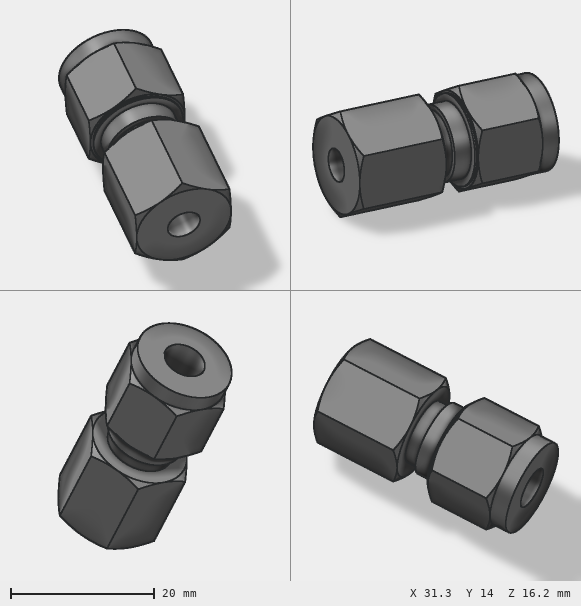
import cadquery as cq
import math


total_length = 31.3
collar_end = 2.57
nut_hex_end = 12.68
nut_rim_end = 12.75
washer_end = 13.02
shoulder_end = 15.62
body_hex_start = 17.72

across_flats = 14.0
across_corners = across_flats / math.cos(math.radians(30))
corner_chamfer_angle = 30.0
washer_diameter = 13.27
shoulder_diameter = 11.1
neck_diameter = 9.6

tube_bore_diameter = 6.0
tube_bore_depth = 15.3
through_bore_diameter = 4.8


def cylinder(start, end, diameter):
    """Round section between two stations along the axis."""
    return cq.Workplane("YZ", origin=(start, 0, 0)).circle(diameter / 2).extrude(end - start)


def chamfered_hex(start, end):
    """Hexagon with corners up and down, its corners turned to cones at both ends."""
    prism = (
        cq.Workplane("YZ", origin=(start, 0, 0))
        .polygon(6, across_corners)
        .extrude(end - start)
        .rotate((0, 0, 0), (1, 0, 0), 90)
    )
    radial_cut = (across_corners - across_flats) / 2
    axial_cut = radial_cut * math.tan(math.radians(corner_chamfer_angle))
    envelope = cylinder(start, end, across_corners).faces("<X or >X").chamfer(axial_cut, radial_cut)
    return prism.intersect(envelope)


collar = cylinder(0, collar_end, across_flats)
nut_hex = chamfered_hex(collar_end, nut_hex_end)
nut_rim = cylinder(nut_hex_end, nut_rim_end, across_flats)
washer_face = cylinder(nut_rim_end, washer_end, washer_diameter)

shoulder = cylinder(washer_end, shoulder_end, shoulder_diameter)
neck = cylinder(shoulder_end, body_hex_start, neck_diameter)
body_hex = chamfered_hex(body_hex_start, total_length)

outside = collar
for section in (nut_hex, nut_rim, washer_face, shoulder, neck, body_hex):
    outside = outside.union(section)

tube_socket = cylinder(0, tube_bore_depth, tube_bore_diameter)
through_bore = cylinder(0, total_length, through_bore_diameter)

result = outside.cut(tube_socket).cut(through_bore)